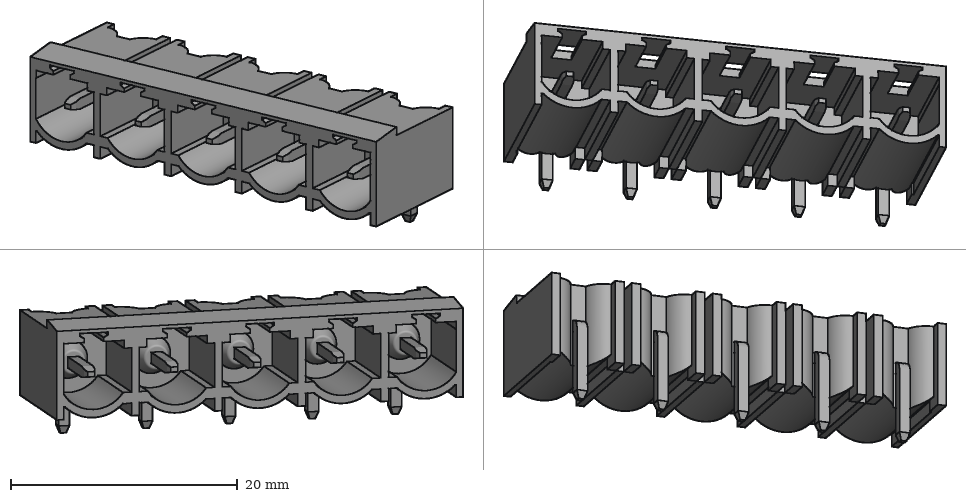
import cadquery as cq

pole_count = 5
pitch = 7.62
length = 37.28
first_pole_x = (length - (pole_count - 1) * pitch) / 2
pole_xs = [first_pole_x + i * pitch for i in range(pole_count)]
divider_xs = [x + pitch / 2 for x in pole_xs[:-1]]

depth = 11.75
roof_z = 7.65
ridge_z = 8.4
ridge_front_z = 7.98
ridge_depth = 3.17
ridge_flat = 0.27
axis_z = 3.77

cavity_half_width = 3.45
cavity_top_z = 6.83
cavity_depth = 8.0
end_cavity_half_width = 2.77
shoulder_top_z = 6.12
shoulder_bottom_z = 2.14
top_half_width = 2.76
cup_radius = 3.29
cup_bottom_z = 0.77
cup_center_z = cup_bottom_z + cup_radius
divider_width = pitch - 2 * cavity_half_width
divider_rear_y = 9.75
slot_floor_z = 6.9

cup_outer_radius = 3.74
relief_z = 1.14

pocket_half_width = 2.6
pocket_step_y = 10.75
pocket_floor_y = 9.42
pocket_floor_half_width = 0.68
pocket_round_radius = 2.0

coding_slot_depth = 4.17
coding_slot_half_width = 1.29
coding_slot_neck_half_width = 0.9
coding_slot_neck_z = 7.18
coding_slot_shoulder_z = 7.43

boss_base_radius = 1.72
boss_tip_radius = 1.08
boss_height = 1.5
boss_round = 0.25

pin_width = 1.0
pin_tip_y = 0.9
pin_height_taper = 1.2
pin_side_taper = 0.6
pin_tip_width = 0.65
pin_tip_height = 0.45
pin_rear_y = pocket_floor_y + pin_width
leg_bottom_z = -3.2
leg_taper = 0.7
leg_tip_width = 0.5


def box(x0, x1, y0, y1, z0, z1):
    return cq.Workplane("XY").box(x1 - x0, y1 - y0, z1 - z0, centered=False).translate((x0, y0, z0))


def cylinder_y(x, z, radius, y_length):
    circle = cq.Workplane("XZ", origin=(x, 0, z)).circle(radius)
    return circle.extrude(-y_length)


def blank():
    """Side profile with the sloped front ridge, run along the full length."""
    profile = cq.Workplane("YZ").polyline([
        (0, 0),
        (depth, 0),
        (depth, roof_z),
        (ridge_depth, roof_z),
        (ridge_depth, ridge_z),
        (ridge_depth - ridge_flat, ridge_z),
        (0, ridge_front_z),
    ])
    return profile.close().extrude(length)


def pole_sides(index):
    """Centre of a pole and its half-widths to the left and right, less at the end walls."""
    left = end_cavity_half_width if index == 0 else cavity_half_width
    right = end_cavity_half_width if index == pole_count - 1 else cavity_half_width
    return pole_xs[index], left, right


def cavity(index):
    """Round-bottomed cavity, narrowed at its upper corners; no shoulder or notch at an end wall."""
    x, left, right = pole_sides(index)
    space = box(x - left, x + right, 0, cavity_depth, axis_z, shoulder_top_z)
    if index > 0:
        space = space.union(box(x - left, x, 0, cavity_depth, shoulder_bottom_z, axis_z))
    if index < pole_count - 1:
        space = space.union(box(x, x + right, 0, cavity_depth, shoulder_bottom_z, axis_z))
    top = box(x - min(left, top_half_width), x + min(right, top_half_width),
              0, cavity_depth, shoulder_top_z, cavity_top_z)
    cup_limit = box(x - left, x + right, 0, cavity_depth, 0, axis_z)
    cup = cylinder_y(x, cup_center_z, cup_radius, cavity_depth).intersect(cup_limit)
    return space.union(top).union(cup)


def boss(x):
    base = cq.Workplane("XZ", origin=(x, cavity_depth, axis_z)).circle(boss_base_radius)
    cone = base.workplane(offset=boss_height).circle(boss_tip_radius).loft()
    return cone.faces("<Y").edges().fillet(boss_round)


def underside_relief(index):
    """Space under one pole that leaves the cup wall and the rear feet."""
    x, left, right = pole_sides(index)
    front = box(x - left, x + right, 0, divider_rear_y, 0, relief_z)
    rear = box(x - pocket_half_width, x + pocket_half_width, 0, depth, 0, relief_z)
    return front.union(rear).cut(cylinder_y(x, axis_z, cup_outer_radius, depth))


def rear_pocket(x):
    """Pocket open to the rear, with convex rounds leading to a narrow flat floor."""
    round_y = pocket_step_y - pocket_round_radius
    pocket = box(x - pocket_half_width, x + pocket_half_width, pocket_floor_y, depth, 0, roof_z)
    for side in (-1, 1):
        shoulder = box(0, pocket_half_width - pocket_floor_half_width,
                       pocket_floor_y, pocket_step_y, 0, roof_z)
        rounded = cq.Workplane("XY").center(0, round_y).circle(pocket_round_radius).extrude(roof_z)
        shoulder = shoulder.intersect(rounded)
        if side > 0:
            shoulder = shoulder.mirror("YZ")
        pocket = pocket.cut(shoulder.translate((x + side * pocket_half_width, 0, 0)))
    return pocket


def coding_slot(x):
    outline = cq.Workplane("XZ", origin=(x, 0, 0)).polyline([
        (-coding_slot_neck_half_width, cavity_top_z),
        (-coding_slot_neck_half_width, coding_slot_neck_z),
        (-coding_slot_half_width, coding_slot_shoulder_z),
        (-coding_slot_half_width, roof_z),
        (coding_slot_half_width, roof_z),
        (coding_slot_half_width, coding_slot_shoulder_z),
        (coding_slot_neck_half_width, coding_slot_neck_z),
        (coding_slot_neck_half_width, cavity_top_z),
    ])
    return outline.close().extrude(-coding_slot_depth)


def divider_slot(x):
    """Channel in the roof between two poles, cut through at the rear."""
    left = x - divider_width / 2
    right = x + divider_width / 2
    channel = box(left, right, ridge_depth, depth, slot_floor_z, roof_z)
    return channel.union(box(left, right, divider_rear_y, depth, 0, roof_z))


def make_pin(x):
    """Square pin: contact along Y, rounded bend, solder leg along -Z, both ends tapered."""
    half = pin_width / 2
    taper_y = pin_tip_y + pin_height_taper
    leg_z = leg_bottom_z + leg_taper
    side = cq.Workplane("YZ", origin=(x - half, 0, 0)).moveTo(pin_tip_y, axis_z - pin_tip_height / 2)
    side = side.lineTo(taper_y, axis_z - half).lineTo(pocket_floor_y, axis_z - half)
    side = side.lineTo(pocket_floor_y, leg_z).lineTo(pin_rear_y, leg_z).lineTo(pin_rear_y, axis_z - half)
    side = side.radiusArc((pocket_floor_y, axis_z + half), -pin_width)
    side = side.lineTo(taper_y, axis_z + half).lineTo(pin_tip_y, axis_z + pin_tip_height / 2)
    body = side.close().extrude(pin_width)

    plan = cq.Workplane("XY", origin=(x, 0, leg_z)).polyline([
        (-pin_tip_width / 2, pin_tip_y),
        (-half, pin_tip_y + pin_side_taper),
        (-half, pin_rear_y),
        (half, pin_rear_y),
        (half, pin_tip_y + pin_side_taper),
        (pin_tip_width / 2, pin_tip_y),
    ])
    body = body.intersect(plan.close().extrude(axis_z + half - leg_z))

    leg_y = pin_rear_y - half
    leg_tip = cq.Workplane("XY", origin=(x, leg_y, leg_bottom_z)).rect(leg_tip_width, leg_tip_width)
    leg_tip = leg_tip.workplane(offset=leg_taper).rect(pin_width, pin_width).loft()
    return body.union(leg_tip)


def make_housing(pins):
    body = blank()
    for index, x in enumerate(pole_xs):
        body = body.cut(cavity(index)).cut(underside_relief(index))
        body = body.cut(rear_pocket(x)).cut(coding_slot(x))
        body = body.union(boss(x))
    for x in divider_xs:
        body = body.cut(divider_slot(x))
    for pin in pins:
        body = body.cut(pin)
    return body


pins = [make_pin(x) for x in pole_xs]
housing = make_housing(pins)

result = cq.Compound.makeCompound([housing.solids().val()] + [pin.solids().val() for pin in pins])